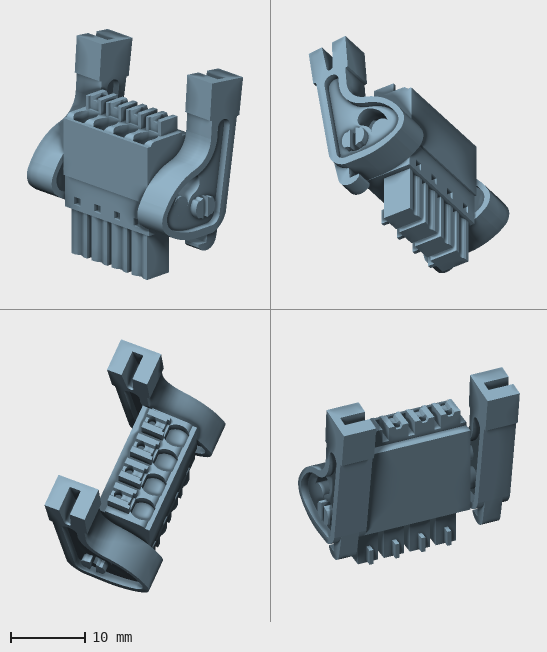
import cadquery as cq
import math


POLES = 4
PITCH = 3.8
POLE_XS = [(i - (POLES - 1) / 2) * PITCH for i in range(POLES)]

HOUSING_WIDTH = 16.02
HOUSING_DEPTH = 7.95
HOUSING_TOP = 19.95
LEDGE_Z = 19.4
BODY_BOTTOM = 6.65
FOOT_TOP = 11.25
FOOT_SETBACK = 0.3
ROUNDING_RADIUS = 0.85
ROUNDING_END_Y = 1.43

ENTRY_FRONT_Y = 0.53
ENTRY_FLAT_HALF = 0.95
ENTRY_HALF_WIDTH = 1.55
ENTRY_FLOOR = 18.1

WINDOW_WIDTH = 1.23
WINDOW_BOTTOM = 7.35
WINDOW_HEIGHT = 1.12
WINDOW_DEPTH = 0.85

SLEEVE_WIDTH = 2.97
SLEEVE_FRONT_Y = 0.75
SLEEVE_BACK_Y = 4.93
GROOVE_HALF = 0.9
GROOVE_FLOOR_HALF = 0.48
GROOVE_SLOPE_DEPTH = 0.15
GROOVE_DEPTH = 0.35
KEY_WIDTH = 0.55
KEY_BACK_Y = 6.1
KEY_BOTTOM = 0.3
KEY_TOP = 2.58

BUTTON_WIDTH = 2.85
BUTTON_FRONT_Y = 3.42
BUTTON_BACK_Y = 6.55
BUTTON_TOP = 22.0
NOTCH_WIDTH = 1.85
NOTCH_DEPTH = 0.35
NOTCH_BOTTOM = 20.15
SLOT_TOP_HALF = 0.6
SLOT_FLOOR_HALF = 0.35
SLOT_DEPTH = 0.53
BUTTON_HOLE_RADIUS = 0.6
BUTTON_HOLE_Y = 5.6

OVERALL_WIDTH = 25.82
LEVER_WIDTH = 4.73
RECESS_DEPTH = 1.05
WEB_WIDTH = LEVER_WIDTH - 2 * RECESS_DEPTH
LEVER_X = (OVERALL_WIDTH - LEVER_WIDTH) / 2
LEVER_TOP = 28
LEVER_BOTTOM = 6.55
HEEL_Y = 10.0
HEEL_Z = 8.85
HOOK_FRONT_Y = 7.5
RECESS_BOTTOM = 7.65

PIVOT_Y = 6.15
PIVOT_Z = 10.5
PIVOT_RADIUS = 1.5
BARB_RADIUS = 1.8
BARB_HALF_HEIGHT = 1.2
HEAD_HEIGHT = RECESS_DEPTH
POST_SLOT_WIDTH = 0.87
GUIDE_ORBIT = 3.75
GUIDE_RADIUS = 1.35
GUIDE_START_ANGLE = 166.0
GUIDE_END_ANGLE = 112.0

WEB_INNER_X = LEVER_X - WEB_WIDTH / 2
WEB_OUTER_X = LEVER_X + WEB_WIDTH / 2


def centred_box(width, y0, y1, z0, z1):
    """Block of a given width, centred on X = 0, with its limits along Y and Z."""
    block = cq.Workplane("XY").box(width, y1 - y0, z1 - z0, centered=False)
    return block.translate((-width / 2, y0, z0))


def yz_plane(x):
    """Sketch plane whose axes are Y and Z, at a given X."""
    return cq.Workplane("YZ", origin=(x, 0, 0))


def at_poles(shape):
    """Copies of a shape, one at each pole."""
    return [shape.translate((x, 0, 0)) for x in POLE_XS]


def orbit_point(radius, degrees):
    """Point at a given radius and angle about the lever pivot."""
    angle = math.radians(degrees)
    return (PIVOT_Y + radius * math.cos(angle), PIVOT_Z + radius * math.sin(angle))


def housing_body():
    """Housing section with rounded top edge, lip, rear ledge and stepped front."""
    lip_rise = LEDGE_Z - (HOUSING_TOP - ROUNDING_RADIUS)
    lip_y = ROUNDING_END_Y - math.sqrt(ROUNDING_RADIUS**2 - lip_rise**2)
    return (
        yz_plane(-HOUSING_WIDTH / 2)
        .moveTo(FOOT_SETBACK, BODY_BOTTOM)
        .lineTo(FOOT_SETBACK, FOOT_TOP)
        .lineTo(0, FOOT_TOP)
        .lineTo(0, LEDGE_Z)
        .lineTo(lip_y, LEDGE_Z)
        .radiusArc((ROUNDING_END_Y, HOUSING_TOP), ROUNDING_RADIUS)
        .lineTo(BUTTON_BACK_Y, HOUSING_TOP)
        .lineTo(BUTTON_BACK_Y, LEDGE_Z)
        .lineTo(HOUSING_DEPTH, LEDGE_Z)
        .lineTo(HOUSING_DEPTH, BODY_BOTTOM)
        .close()
        .extrude(HOUSING_WIDTH)
    )


def wire_entry():
    """Barrel-shaped well in front of a button."""
    middle_y = (ENTRY_FRONT_Y + BUTTON_FRONT_Y) / 2
    return (
        cq.Workplane("XY", origin=(0, 0, ENTRY_FLOOR))
        .moveTo(-ENTRY_FLAT_HALF, ENTRY_FRONT_Y)
        .lineTo(ENTRY_FLAT_HALF, ENTRY_FRONT_Y)
        .threePointArc((ENTRY_HALF_WIDTH, middle_y), (ENTRY_FLAT_HALF, BUTTON_FRONT_Y))
        .lineTo(-ENTRY_FLAT_HALF, BUTTON_FRONT_Y)
        .threePointArc((-ENTRY_HALF_WIDTH, middle_y), (-ENTRY_FLAT_HALF, ENTRY_FRONT_Y))
        .close()
        .extrude(HOUSING_TOP - ENTRY_FLOOR)
    )


def sleeve():
    """Plug sleeve with a grooved front and a key at the back."""
    half = SLEEVE_WIDTH / 2
    slope_y = SLEEVE_FRONT_Y + GROOVE_SLOPE_DEPTH
    column = (
        cq.Workplane("XY")
        .moveTo(-half, SLEEVE_FRONT_Y)
        .lineTo(-GROOVE_HALF, SLEEVE_FRONT_Y)
        .lineTo(-GROOVE_FLOOR_HALF, slope_y)
        .threePointArc((0, SLEEVE_FRONT_Y + GROOVE_DEPTH), (GROOVE_FLOOR_HALF, slope_y))
        .lineTo(GROOVE_HALF, SLEEVE_FRONT_Y)
        .lineTo(half, SLEEVE_FRONT_Y)
        .lineTo(half, SLEEVE_BACK_Y)
        .lineTo(-half, SLEEVE_BACK_Y)
        .close()
        .extrude(BODY_BOTTOM)
    )
    return column.union(centred_box(KEY_WIDTH, SLEEVE_BACK_Y, KEY_BACK_Y, KEY_BOTTOM, KEY_TOP))


def pivot_post():
    """Split snap post on the +X end, its barbed head standing on the outer face of the web."""
    start_x = HOUSING_WIDTH / 2
    tip_x = WEB_OUTER_X + HEAD_HEIGHT
    shaft = yz_plane(start_x).center(PIVOT_Y, PIVOT_Z).circle(PIVOT_RADIUS).extrude(tip_x - start_x)
    head = yz_plane(WEB_OUTER_X).center(PIVOT_Y, PIVOT_Z)
    barbs = head.circle(BARB_RADIUS).extrude(HEAD_HEIGHT).intersect(
        head.rect(2 * BARB_RADIUS, 2 * BARB_HALF_HEIGHT).extrude(HEAD_HEIGHT)
    )
    slot_radius = POST_SLOT_WIDTH / 2
    slot_end_x = WEB_INNER_X + slot_radius
    slot = (
        cq.Workplane("XY", origin=(0, PIVOT_Y, PIVOT_Z - PIVOT_RADIUS))
        .moveTo(tip_x, slot_radius)
        .lineTo(slot_end_x, slot_radius)
        .threePointArc((WEB_INNER_X, 0), (slot_end_x, -slot_radius))
        .lineTo(tip_x, -slot_radius)
        .close()
        .extrude(2 * PIVOT_RADIUS)
    )
    return shaft.union(barbs).cut(slot)


def guide_pin():
    """Round pin on the +X end, ending flush with the outer face of the web."""
    start_x = HOUSING_WIDTH / 2
    centre = orbit_point(GUIDE_ORBIT, GUIDE_START_ANGLE)
    return yz_plane(start_x).center(*centre).circle(GUIDE_RADIUS).extrude(WEB_OUTER_X - start_x)


def make_housing():
    """Housing with its openings, sleeves and the pins that carry the levers."""
    body = housing_body()
    window_back_y = FOOT_SETBACK + WINDOW_DEPTH
    window_top = WINDOW_BOTTOM + WINDOW_HEIGHT
    window = centred_box(WINDOW_WIDTH, FOOT_SETBACK, window_back_y, WINDOW_BOTTOM, window_top)
    button_pocket = centred_box(BUTTON_WIDTH, BUTTON_FRONT_Y, BUTTON_BACK_Y, ENTRY_FLOOR, HOUSING_TOP)
    for opening in (wire_entry(), window, button_pocket):
        for copy in at_poles(opening):
            body = body.cut(copy)
    for copy in at_poles(sleeve()):
        body = body.union(copy)
    for pin in (pivot_post(), guide_pin()):
        body = body.union(pin).union(pin.mirror("YZ"))
    return body


def make_button():
    """Button at X = 0, standing on the floor of its pocket."""
    body = centred_box(BUTTON_WIDTH, BUTTON_FRONT_Y, BUTTON_BACK_Y, ENTRY_FLOOR, BUTTON_TOP)
    notch = centred_box(
        NOTCH_WIDTH, BUTTON_FRONT_Y, BUTTON_FRONT_Y + NOTCH_DEPTH, NOTCH_BOTTOM, BUTTON_TOP
    )
    slot_floor = BUTTON_TOP - SLOT_DEPTH
    slot = (
        cq.Workplane("XZ", origin=(0, BUTTON_BACK_Y, 0))
        .moveTo(-SLOT_TOP_HALF, BUTTON_TOP)
        .lineTo(-SLOT_FLOOR_HALF, slot_floor)
        .lineTo(SLOT_FLOOR_HALF, slot_floor)
        .lineTo(SLOT_TOP_HALF, BUTTON_TOP)
        .close()
        .extrude(BUTTON_BACK_Y - BUTTON_FRONT_Y)
    )
    hole = (
        cq.Workplane("XY", origin=(0, BUTTON_HOLE_Y, HOUSING_TOP))
        .circle(BUTTON_HOLE_RADIUS)
        .extrude(BUTTON_TOP - HOUSING_TOP)
    )
    return body.cut(notch).cut(slot).cut(hole)


def lever_blade():
    """Full outline: handle, neck, rounded nose and flat bottom."""
    return (
        yz_plane(-LEVER_WIDTH / 2)
        .moveTo(13.27, 27.35)
        .lineTo(7.4, LEVER_TOP)
        .lineTo(7.0, 22.75)
        .lineTo(7.4, 22.65)
        .lineTo(7.2, 20.05)
        .tangentArcPoint((4.25, 16.52), relative=False)
        .tangentArcPoint((-1.35, 12.32), relative=False)
        .lineTo(-1.65, 11.8)
        .threePointArc((-2.05, 10.65), (-1.48, 8.85))
        .lineTo(-0.48, 8.05)
        .threePointArc((1.95, 6.95), (4.48, LEVER_BOTTOM))
        .lineTo(HOOK_FRONT_Y, LEVER_BOTTOM)
        .threePointArc((9.0, 7.35), (HEEL_Y, HEEL_Z))
        .lineTo(12.1, 22.05)
        .lineTo(12.55, 22.12)
        .close()
        .extrude(LEVER_WIDTH)
    )


def lever_recess():
    """Hollow that follows the outline, leaving a rim; one recess deep."""
    return (
        yz_plane(0)
        .moveTo(10.72, 20.97)
        .lineTo(8.85, 9.13)
        .threePointArc((8.3, 7.98), (7.35, RECESS_BOTTOM))
        .lineTo(4.75, RECESS_BOTTOM)
        .tangentArcPoint((-0.17, 8.9), relative=False)
        .threePointArc((-1.12, 10.35), (-0.67, 11.95))
        .threePointArc((1.4, 14.25), (4.42, 15.55))
        .threePointArc((6.85, 16.95), (8.4, 20.0))
        .lineTo(8.48, 21.17)
        .threePointArc((9.63, 22.32), (10.72, 20.97))
        .close()
        .extrude(RECESS_DEPTH)
    )


def grip_slot():
    """Tapering slot in the handle, open at the end and towards -X."""
    return (
        yz_plane(-LEVER_WIDTH / 2)
        .moveTo(11.23, LEVER_TOP)
        .lineTo(10.4, 23.75)
        .threePointArc((9.88, 23.27), (9.4, 23.75))
        .lineTo(9.55, LEVER_TOP)
        .close()
        .extrude(LEVER_WIDTH - RECESS_DEPTH)
    )


def hook():
    """Latch hook below the heel, as wide as the web."""
    return (
        yz_plane(-WEB_WIDTH / 2)
        .moveTo(HEEL_Y, HEEL_Z)
        .lineTo(9.2, 5.25)
        .threePointArc((7.45, 3.78), (5.88, 4.5))
        .lineTo(5.88, 4.95)
        .lineTo(7.42, 4.87)
        .lineTo(HOOK_FRONT_Y, LEVER_BOTTOM)
        .lineTo(HOOK_FRONT_Y, HEEL_Z)
        .close()
        .extrude(WEB_WIDTH)
    )


def guide_slot():
    """Curved slot about the pivot in which the guide pin runs."""
    middle = (GUIDE_START_ANGLE + GUIDE_END_ANGLE) / 2
    tip_orbit = math.hypot(GUIDE_ORBIT, GUIDE_RADIUS)
    overshoot = math.degrees(math.atan2(GUIDE_RADIUS, GUIDE_ORBIT))
    inner = GUIDE_ORBIT - GUIDE_RADIUS
    outer = GUIDE_ORBIT + GUIDE_RADIUS
    start_tip = orbit_point(tip_orbit, GUIDE_START_ANGLE + overshoot)
    end_tip = orbit_point(tip_orbit, GUIDE_END_ANGLE - overshoot)
    return (
        yz_plane(-WEB_WIDTH / 2)
        .moveTo(*orbit_point(inner, GUIDE_START_ANGLE))
        .threePointArc(orbit_point(inner, middle), orbit_point(inner, GUIDE_END_ANGLE))
        .threePointArc(end_tip, orbit_point(outer, GUIDE_END_ANGLE))
        .threePointArc(orbit_point(outer, middle), orbit_point(outer, GUIDE_START_ANGLE))
        .threePointArc(start_tip, orbit_point(inner, GUIDE_START_ANGLE))
        .close()
        .extrude(WEB_WIDTH)
    )


def make_lever():
    """Lever with a recess on both sides of its web, pierced for the pivot post and guide pin."""
    pivot_hole = (
        yz_plane(-WEB_WIDTH / 2).center(PIVOT_Y, PIVOT_Z).circle(PIVOT_RADIUS).extrude(WEB_WIDTH)
    )
    recess = lever_recess()
    return (
        lever_blade()
        .cut(recess.translate((-LEVER_WIDTH / 2, 0, 0)))
        .cut(recess.translate((WEB_WIDTH / 2, 0, 0)))
        .union(hook())
        .cut(grip_slot())
        .cut(pivot_hole)
        .cut(guide_slot())
    )


housing = make_housing()
buttons = at_poles(make_button())
lever = make_lever()
levers = [lever.translate((x, 0, 0)) for x in (-LEVER_X, LEVER_X)]

result = cq.Compound.makeCompound(
    [housing.val(), *[button.val() for button in buttons], *[one.val() for one in levers]]
)